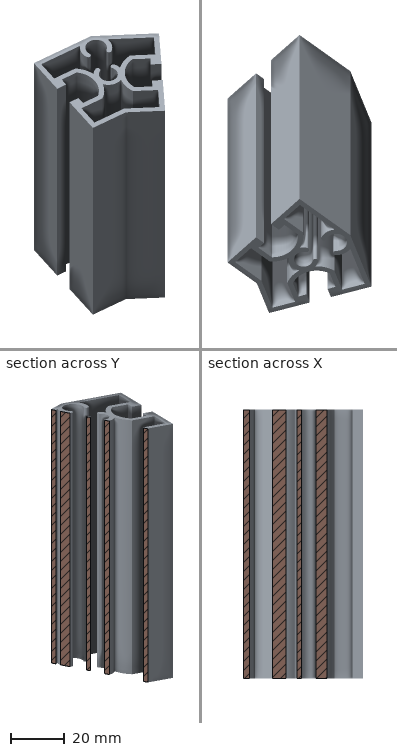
import cadquery as cq
import math

length = 100.0
width = 40.0
wall = 2.0
half_width = width / 2
mirror_tilt = 15.0

slot_opening_width = 8.3
slot_half_opening = slot_opening_width / 2
lip_thickness = 4.0
channel_half_width = 7.2
channel_depth = 13.9
channel_radius = 9.6

screw_channel_wall = 2.0
centre_radius = 4.5
centre_half_gap = 43.0
edge_radius = 5.0
edge_half_gap = 55.0
edge_offset = edge_radius + screw_channel_wall / 2 - half_width

bottom = -half_width
channel_top = bottom + channel_depth
channel_centre_y = channel_top - channel_radius


def box(x_min, x_max, y_min, y_max):
    return (
        cq.Workplane("XY")
        .center((x_min + x_max) / 2, (y_min + y_max) / 2)
        .rect(x_max - x_min, y_max - y_min)
        .extrude(length)
    )


def mirrored(body):
    """Reflect a body in the tilted plane through the section origin."""
    axis_start, axis_end = (0, 0, 0), (0, 0, 1)
    levelled = body.rotate(axis_start, axis_end, mirror_tilt)
    return levelled.mirror("XZ").rotate(axis_start, axis_end, -mirror_tilt)


def outer_half(offset):
    """Solid half of the outer shape, inset by the given offset."""
    side = half_width - offset
    rise = side * math.tan(math.radians(mirror_tilt))
    floor = bottom + offset
    points = [(-side, floor), (side, floor), (side, -rise), (-side, rise)]
    return cq.Workplane("XY").polyline(points).close().extrude(length)


def channel_shape(offset):
    """Arched slot channel, grown outwards by the given offset."""
    half = channel_half_width + offset
    radius = channel_radius + offset
    shoulder = channel_centre_y + math.sqrt(radius**2 - half**2)
    return (
        cq.Workplane("XY")
        .moveTo(-half, bottom)
        .lineTo(half, bottom)
        .lineTo(half, shoulder)
        .threePointArc((0, channel_top + offset), (-half, shoulder))
        .close()
        .extrude(length)
    )


def open_ring(x, y, radius, gap_direction, half_gap):
    """C-shaped wall with rounded tips; angles are in degrees."""
    def at(r, angle):
        turn = math.radians(angle)
        return (x + r * math.cos(turn), y + r * math.sin(turn))

    inner = radius - screw_channel_wall / 2
    outer = radius + screw_channel_wall / 2
    start = gap_direction + half_gap
    end = gap_direction + 360 - half_gap
    middle = gap_direction + 180
    ring = (
        cq.Workplane("XY")
        .moveTo(*at(outer, start))
        .threePointArc(at(outer, middle), at(outer, end))
        .lineTo(*at(inner, end))
        .threePointArc(at(inner, middle), at(inner, start))
        .close()
        .extrude(length)
    )
    tip_centres = [at(radius, start), at(radius, end)]
    tips = cq.Workplane("XY").pushPoints(tip_centres).circle(screw_channel_wall / 2).extrude(length)
    return ring.union(tips)


outside = outer_half(0).union(mirrored(outer_half(0)))
inside = outer_half(wall).union(mirrored(outer_half(wall)))
profile = outside.cut(inside)

slot_wall = channel_shape(wall)
lip_top = bottom + lip_thickness
slot_lips = box(-channel_half_width, channel_half_width, bottom, lip_top)
slot_opening = box(-slot_half_opening, slot_half_opening, bottom, lip_top)
slot_space = channel_shape(0).cut(slot_lips).union(slot_opening)
profile = profile.union(slot_wall).union(mirrored(slot_wall))

centre_channel = open_ring(0, 0, centre_radius, 180 - mirror_tilt, centre_half_gap)
edge_y = -edge_offset * math.tan(math.radians(mirror_tilt))
edge_channel = open_ring(edge_offset, edge_y, edge_radius, -mirror_tilt, edge_half_gap)
profile = profile.union(centre_channel).union(edge_channel)

profile = profile.cut(slot_space).cut(mirrored(slot_space))

result = profile.translate((half_width, half_width, 0))